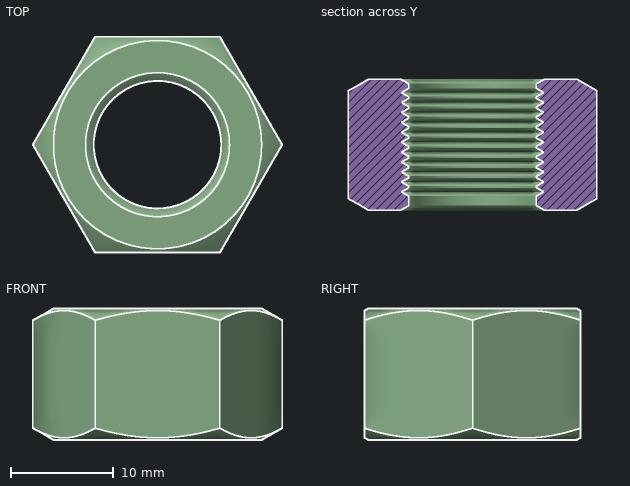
import cadquery as cq
import math

SIDES = 6
ACROSS_FLATS = 21.0
HEIGHT = 12.8
FACE_DIAMETER = 20.25
CHAMFER_ANGLE = 30.0

NOMINAL_DIAMETER = 14.0
BORE_DIAMETER = 12.376
COUNTERSINK_SLOPE = 30.0
THREAD_PITCH = 0.965
GROOVE_COUNT = 11
FLANK_SLOPE = 30.0
CREST_WIDTH = 0.17
TOP_LAND = 0.47

half_height = HEIGHT / 2
across_corners = ACROSS_FLATS / math.cos(math.pi / SIDES)
corner_radius = across_corners / 2
face_radius = FACE_DIAMETER / 2
chamfer_drop = (corner_radius - face_radius) * math.tan(math.radians(CHAMFER_ANGLE))
nominal_radius = NOMINAL_DIAMETER / 2
bore_radius = BORE_DIAMETER / 2
countersink_depth = (nominal_radius - bore_radius) * math.tan(math.radians(COUNTERSINK_SLOPE))
groove_half_width = (THREAD_PITCH - CREST_WIDTH) / 2
groove_depth = groove_half_width / math.tan(math.radians(FLANK_SLOPE))


def revolve_profile(points):
    """Turn an (r, z) outline into a solid of revolution about the Z axis."""
    return cq.Workplane("XZ").polyline(points).close().revolve(360, (0, 0, 0), (0, 1, 0))


def chamfered_hexagon():
    """Hexagon with corners on the X axis, its ends trimmed by shallow cones."""
    shoulder = half_height - chamfer_drop
    hexagon = cq.Workplane("XY").polygon(SIDES, across_corners).extrude(half_height, both=True)
    envelope = revolve_profile([
        (0, -half_height),
        (face_radius, -half_height),
        (corner_radius, -shoulder),
        (corner_radius, shoulder),
        (face_radius, half_height),
        (0, half_height),
    ])
    return hexagon.intersect(envelope)


def threaded_bore():
    """Solid filling the bore: countersunk ends and a stack of ring-shaped V grooves."""
    bore_end = half_height - countersink_depth
    first_groove_z = bore_end - TOP_LAND - groove_half_width
    points = [
        (0, half_height),
        (nominal_radius, half_height),
        (bore_radius, bore_end),
    ]
    for index in range(GROOVE_COUNT):
        groove_z = first_groove_z - index * THREAD_PITCH
        points.append((bore_radius, groove_z + groove_half_width))
        points.append((bore_radius + groove_depth, groove_z))
        points.append((bore_radius, groove_z - groove_half_width))
    points += [
        (bore_radius, -bore_end),
        (nominal_radius, -half_height),
        (0, -half_height),
    ]
    return revolve_profile(points)


result = chamfered_hexagon().cut(threaded_bore())